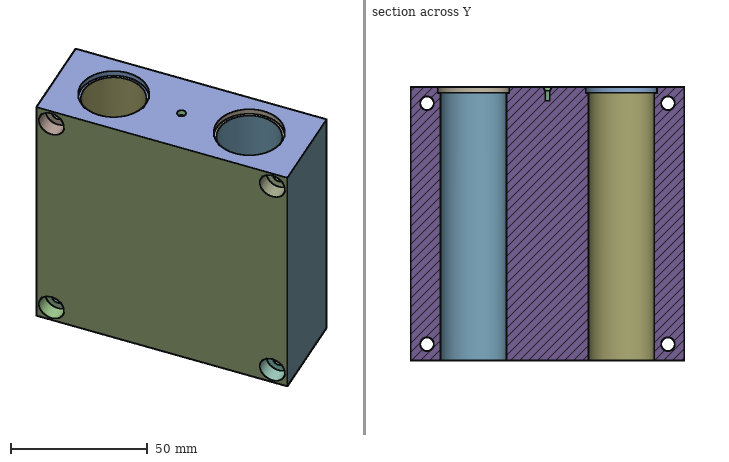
import cadquery as cq

width = 100.0
depth = 36.0
height = 100.0
top = height / 2
front = -depth / 2

bore_spacing = 54.0
bore_diameter = 24.0
seat_diameter = 26.0
seat_depth = 2.2

screw_edge_distance = 6.0
screw_diameter = 4.9
head_diameter = 10.0
head_depth = 6.0

pilot_diameter = 1.6
pilot_depth = 5.0
mouth_diameter = 3.3
mouth_depth = 1.5


def vertical_cylinder(x, diameter, z_top, length):
    """Cylinder reaching down from z_top, on the middle plane of the block."""
    return cq.Workplane("XY", origin=(x, 0, z_top)).circle(diameter / 2).extrude(-length)


def stepped_bore(x):
    bore = vertical_cylinder(x, bore_diameter, top, height)
    seat = vertical_cylinder(x, seat_diameter, top, seat_depth)
    return bore.union(seat)


def pilot_hole():
    hole = vertical_cylinder(0, pilot_diameter, top, pilot_depth)
    mouth = cq.Solid.makeCone(
        mouth_diameter / 2,
        pilot_diameter / 2,
        mouth_depth,
        pnt=cq.Vector(0, 0, top),
        dir=cq.Vector(0, 0, -1),
    )
    return hole.union(cq.Workplane(mouth))


result = cq.Workplane("XY").box(width, depth, height)

for side in (-1, 1):
    result = result.cut(stepped_bore(side * bore_spacing / 2))

result = result.cut(pilot_hole())

result = (
    result.copyWorkplane(cq.Workplane("XZ", origin=(0, front, 0)))
    .rect(width - 2 * screw_edge_distance, height - 2 * screw_edge_distance, forConstruction=True)
    .vertices()
    .cboreHole(screw_diameter, head_diameter, head_depth)
)